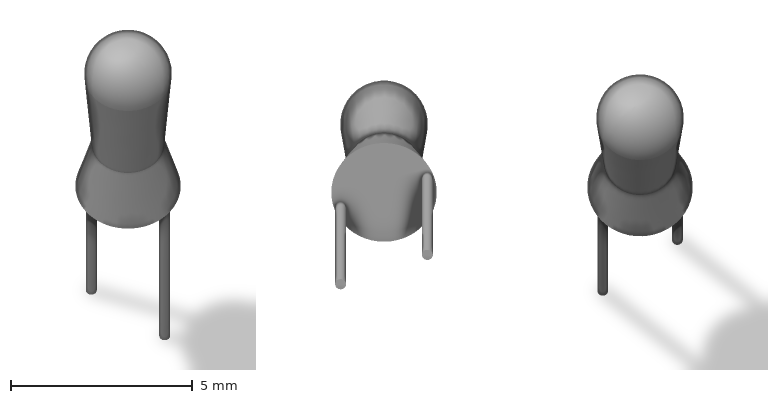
import cadquery as cq

base_radius = 1.45
neck_radius = 1.0
shoulder_radius = 1.2
base_height = 2.0
barrel_height = 3.2
dome_height = 1.3

lead_length = 6.0
lead_diameter = 0.3
lead_spacing = 2.54

neck_z = base_height
shoulder_z = neck_z + barrel_height
tip_z = shoulder_z + dome_height

dome_radius = (shoulder_radius**2 + dome_height**2) / (2 * dome_height)
dome_centre_z = tip_z - dome_radius
dome_diagonal = dome_radius / 2**0.5


def make_body():
    """Revolve the half profile of the body about Z."""
    return (
        cq.Workplane("XZ")
        .lineTo(base_radius, 0)
        .lineTo(neck_radius, neck_z)
        .lineTo(shoulder_radius, shoulder_z)
        .threePointArc((dome_diagonal, dome_centre_z + dome_diagonal), (0, tip_z))
        .close()
        .revolve(360, (0, 0), (0, 1))
    )


def make_leads():
    """Two round leads hanging below the flat base, side by side along X."""
    return (
        cq.Workplane("XY")
        .pushPoints([(side * lead_spacing / 2, 0) for side in (-1, 1)])
        .circle(lead_diameter / 2)
        .extrude(-lead_length)
    )


result = make_body().union(make_leads())